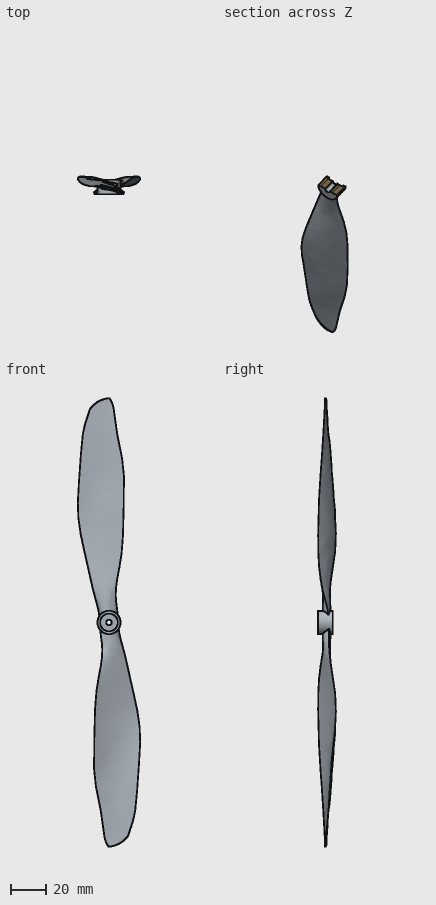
import cadquery as cq


span = 254.0
hub_diameter = 13.2
hub_length = 8.4
recess_diameter = 10.0
recess_depth = 1.0
bore_diameter = 3.0

tip_radius = span / 2
blade_sections = [
    (0.0, (-5.8, 1.9), (4.8, 1.6), 0.3, 1.0, -3.4),
    (10.0, (-6.8, 1.9), (4.3, 0.6), 0.35, 1.3, -2.7),
    (19.0, (-9.2, 2.4), (4.0, -1.7), 0.45, 1.9, -1.4),
    (31.0, (-11.9, 4.3), (5.9, -3.6), 0.6, 2.6, 0.3),
    (50.0, (-16.1, 6.0), (8.0, -4.2), 0.65, 3.4, 1.6),
    (75.0, (-17.4, 3.8), (8.6, -3.4), 0.65, 3.6, 2.2),
    (98.0, (-15.8, 2.2), (6.5, -1.8), 0.6, 2.2, 1.2),
    (113.0, (-13.4, 1.1), (3.7, -0.9), 0.5, 1.2, 0.4),
    (tip_radius, (-10.2, 0.3), (0.2, -0.3), 0.5, 0.6, 0.0),
]

tip_apex = (0.2, tip_radius)
tip_arc_middle = (-6.5, 124.8)
tip_arc_end = (-11.3, 120.0)
trim_margin = 30.0


def blade_section(distance, leading, trailing, peak, rear_rise, front_rise):
    """Closed wire of one blade section: a rear and a front curve joined at both edges."""
    start = cq.Vector(*leading, distance)
    end = cq.Vector(*trailing, distance)
    chord_point = start + (end - start) * peak
    rear_peak = chord_point + cq.Vector(0, rear_rise, 0)
    front_peak = chord_point + cq.Vector(0, front_rise, 0)
    rear = cq.Edge.makeSpline([start, rear_peak, end])
    front = cq.Edge.makeSpline([end, front_peak, start])
    return cq.Wire.assembleEdges([rear, front])


def tip_trim():
    """Everything inside the rounded tip outline, as a block along Y."""
    return (
        cq.Workplane("XZ")
        .moveTo(*tip_apex)
        .threePointArc(tip_arc_middle, tip_arc_end)
        .lineTo(tip_arc_end[0] - trim_margin, tip_arc_end[1] - trim_margin)
        .lineTo(-trim_margin, 0)
        .lineTo(trim_margin, 0)
        .lineTo(trim_margin, tip_radius)
        .close()
        .extrude(trim_margin, both=True)
    )


def blade():
    """The +Z blade, lofted through its sections and cut to the rounded tip."""
    wires = [blade_section(*row) for row in blade_sections]
    loft = cq.Workplane(obj=cq.Solid.makeLoft(wires))
    return loft.intersect(tip_trim())


def cylinder(diameter, y_start, length):
    """Solid cylinder on the spin axis, from y_start towards +Y."""
    return cq.Workplane("XZ", origin=(0, y_start, 0)).circle(diameter / 2).extrude(-length)


front_y = -hub_length / 2
upper_blade = blade()
lower_blade = upper_blade.rotate((0, 0, 0), (0, 1, 0), 180)
hub = cylinder(hub_diameter, front_y, hub_length)
recess = cylinder(recess_diameter, front_y, recess_depth)
bore = cylinder(bore_diameter, front_y, hub_length)

result = hub.union(upper_blade).union(lower_blade).cut(recess).cut(bore)